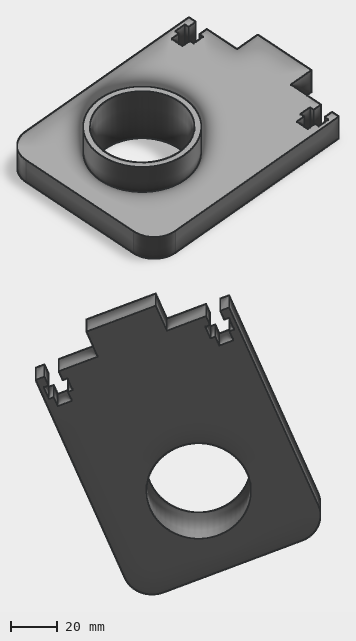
import cadquery as cq

plate_width = 90.0
total_length = 126.3
tongue_length = 12.8
tongue_width = 32.2
plate_length = total_length - tongue_length
plate_thickness = 12.9
corner_radius = 12.8

total_height = 27.7
collar_diameter = 50.8
bore_diameter = 45.0
collar_y = 38.5

slot_x = 37.5
slot_width = 6.6
slot_depth = 15.0
cross_arm_span = 11.0
cross_arm_height = 6.0
cross_arm_depth = 4.5


def back_edge_block(x, width, depth, start=0.0):
    """Full-thickness block reaching forward from the plate's back edge."""
    return (
        cq.Workplane("XY")
        .center(x, plate_length - start - depth / 2)
        .rect(width, depth)
        .extrude(plate_thickness)
    )


def cross_slot(x):
    stem = back_edge_block(x, slot_width, slot_depth)
    arms = back_edge_block(x, cross_arm_span, cross_arm_height, cross_arm_depth)
    return stem.union(arms)


plate = (
    cq.Workplane("XY")
    .center(0, plate_length / 2)
    .rect(plate_width, plate_length)
    .extrude(plate_thickness)
    .edges("|Z and <Y")
    .fillet(corner_radius)
)

tongue = (
    cq.Workplane("XY")
    .center(0, plate_length + tongue_length / 2)
    .rect(tongue_width, tongue_length)
    .extrude(plate_thickness)
)

collar = cq.Workplane("XY").center(0, collar_y).circle(collar_diameter / 2).extrude(total_height)
bore = cq.Workplane("XY").center(0, collar_y).circle(bore_diameter / 2).extrude(total_height)

result = plate.union(tongue).union(collar).cut(bore)
for side in (-1, 1):
    result = result.cut(cross_slot(side * slot_x))